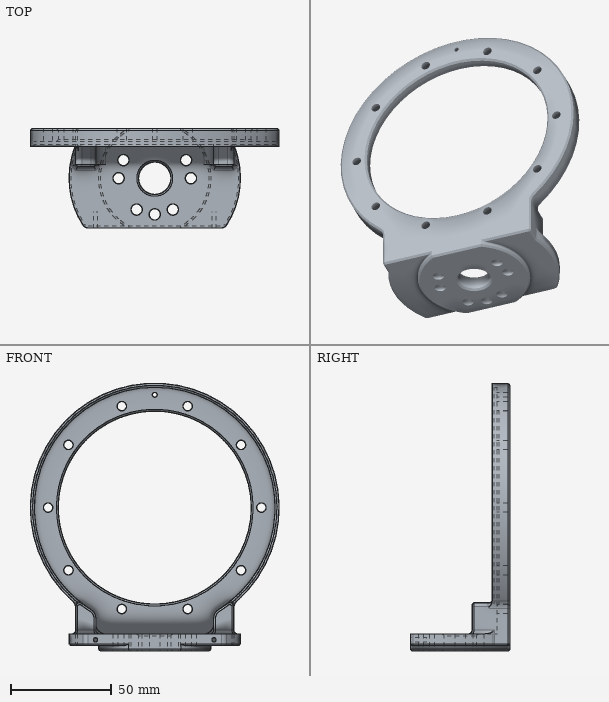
import cadquery as cq
import math

total_height = 133.5
depth = 49.7
back_y = depth / 2
edge_chamfer = 1.0
small_fillet = 2.0
large_fillet = 5.0

ring_radius = 124.0 / 2
ring_z = total_height - ring_radius
ring_thickness = 9.0
face_thickness = 6.5
rim_inner_radius = 60.0
bore_radius = 48.0
rim_front_y = back_y - ring_thickness
face_y = back_y - face_thickness

bolt_count = 10
bolt_circle_radius = 53.1
bolt_diameter = 4.5
pin_circle_radius = 56.2
pin_diameter = 2.3

plate_radius = 42.7
plate_bottom_z = 2.7
plate_top_z = 8.5
plate_corner_fillet = 3.0
boss_radius = 28.0

shaft_hole_radius = 8.0
plate_hole_circle_radius = 18.0
plate_hole_diameter = 5.5
plate_hole_angles = (0, 30, 150, 180, 240, 270, 300)
front_hole_spacing = 59.0
front_hole_diameter = 2.1
front_hole_depth = 8.0
front_hole_z = (plate_bottom_z + plate_top_z) / 2

block_outer_x = 39.4
block_inner_x = 29.4
block_depth = 19.0
block_front_y = back_y - block_depth
block_foot_z = plate_top_z - 1.3

corner_axis_x = block_outer_x - small_fillet
corner_axis_z = ring_z - math.sqrt((rim_inner_radius + small_fillet) ** 2 - corner_axis_x**2)

selection_margin = 0.1


def box(x_min, x_max, y_min, y_max, z_min, z_max):
    size = (x_max - x_min, y_max - y_min, z_max - z_min)
    return cq.Workplane("XY", origin=(x_min, y_min, z_min)).box(*size, centered=False)


def cylinder_y(radius, y_front, y_back, x=0.0, z=ring_z):
    """Cylinder along Y between two depths."""
    plane = cq.Workplane("XZ", origin=(x, y_back, z))
    return plane.circle(radius).extrude(y_back - y_front)


def edge_cone(radius, edge_point, inward):
    """Cone that chamfers the mouth of a hole; inward points from the mouth into the hole."""
    return cq.Solid.makeCone(
        radius + edge_chamfer,
        radius,
        edge_chamfer,
        pnt=cq.Vector(*edge_point),
        dir=cq.Vector(*inward),
    )


def near(x_min, x_max, y_min, y_max, z_min, z_max):
    """Selector for edges whose centre lies inside the given limits or just outside them."""
    m = selection_margin
    return cq.selectors.BoxSelector(
        (x_min - m, y_min - m, z_min - m),
        (x_max + m, y_max + m, z_max + m),
    )


def mirrored(half):
    """The +X half joined with its mirror image."""
    return half.union(half.mirror("YZ"))


def base_disc(radius, z_bottom):
    """Disc up to the plate's top, flat at the front and back."""
    disc = cq.Workplane("XY", origin=(0, 0, z_bottom)).circle(radius).extrude(plate_top_z - z_bottom)
    return disc.intersect(box(-radius, radius, -back_y, back_y, z_bottom, plate_top_z))


def base_plate():
    """Round plate, widened at the back to the width of the upright."""
    plate = base_disc(plate_radius, plate_bottom_z)
    plate = plate.edges("|Z and <Y").fillet(plate_corner_fillet)
    plate = plate.union(
        box(-block_outer_x, block_outer_x, rim_front_y, back_y, plate_bottom_z, plate_top_z)
    )
    return plate.edges("|Z and >Y").chamfer(edge_chamfer)


def upright_outline(y_front, y_back):
    """Ring disc and the straight web under it, blended where they meet."""
    web_top_z = ring_z - block_outer_x
    body = cylinder_y(ring_radius, y_front, y_back)
    body = body.union(box(-block_outer_x, block_outer_x, y_front, y_back, block_foot_z, web_top_z))
    junctions = near(-block_outer_x, block_outer_x, y_front, y_back, plate_top_z, web_top_z)
    return body.edges("|Y").edges(junctions).fillet(large_fillet)


def face_recess():
    """Space in front of the ring face, leaving a rim with a chamfered inner edge."""
    rim_chamfer = edge_cone(rim_inner_radius, (0, rim_front_y, ring_z), (0, 1, 0))
    half_width = block_inner_x + large_fillet
    below_ring = box(-half_width, half_width, rim_front_y, face_y, block_foot_z, ring_z - bore_radius)
    return cylinder_y(rim_inner_radius, rim_front_y, face_y).union(rim_chamfer).union(below_ring)


def gusset_block():
    """Block on the +X side whose top follows the inside of the rim."""
    block = box(block_inner_x, block_outer_x, block_front_y, face_y, block_foot_z, ring_z)
    block = block.cut(cylinder_y(rim_inner_radius, block_front_y, face_y))
    block = block.edges("|Y and >Z").fillet(small_fillet)
    inner_corner = near(block_inner_x, block_inner_x, block_front_y, face_y, plate_top_z, ring_z)
    block = block.edges("|Y").edges(inner_corner).fillet(large_fillet)
    return block.faces("<Y").chamfer(edge_chamfer)


def round_block_feet(body):
    """Rounds the corners between the blocks, the plate's top and the plate's round side."""
    y_limits = (block_front_y, rim_front_y + small_fillet)
    z_limits = (front_hole_z, plate_top_z)
    right = near(block_inner_x, block_outer_x, *y_limits, *z_limits)
    left = near(-block_outer_x, -block_inner_x, *y_limits, *z_limits)
    return body.edges(right + left).fillet(small_fillet)


def inner_foot():
    """Larger concave rounding at the foot of the +X block's inner wall."""
    y_front = block_front_y + edge_chamfer
    toe_x = block_inner_x - large_fillet
    corner = box(toe_x, block_inner_x, y_front, face_y, plate_top_z, plate_top_z + large_fillet)
    return corner.cut(cylinder_y(large_fillet, y_front, face_y, toe_x, plate_top_z + large_fillet))


def rim_to_block_blend():
    """Concave rounding between the rim's front and the +X block's rounded top corner."""
    y_front = rim_front_y - small_fillet
    blend = cylinder_y(2 * small_fillet, y_front, rim_front_y, corner_axis_x, corner_axis_z)
    blend = blend.cut(
        cq.Solid.makeTorus(
            2 * small_fillet,
            small_fillet,
            cq.Vector(corner_axis_x, y_front, corner_axis_z),
            cq.Vector(0, 1, 0),
        )
    )
    blend = blend.intersect(upright_outline(y_front, rim_front_y))
    return blend.cut(cylinder_y(rim_inner_radius + edge_chamfer, y_front, rim_front_y))


def ring_holes():
    """Bore chamfered at both ends, the bolt circle and one pin hole at the top."""
    holes = cylinder_y(bore_radius, face_y, back_y)
    holes = holes.union(edge_cone(bore_radius, (0, face_y, ring_z), (0, 1, 0)))
    holes = holes.union(edge_cone(bore_radius, (0, back_y, ring_z), (0, -1, 0)))
    for index in range(bolt_count):
        angle = 2 * math.pi * index / bolt_count
        x = bolt_circle_radius * math.cos(angle)
        z = ring_z + bolt_circle_radius * math.sin(angle)
        holes = holes.union(cylinder_y(bolt_diameter / 2, face_y, back_y, x, z))
    pin_z = ring_z + pin_circle_radius
    return holes.union(cylinder_y(pin_diameter / 2, face_y, back_y, 0, pin_z))


def plate_holes():
    """Shaft hole chamfered at both ends and the holes around it."""
    holes = cq.Workplane("XY").circle(shaft_hole_radius).extrude(plate_top_z)
    holes = holes.union(edge_cone(shaft_hole_radius, (0, 0, plate_top_z), (0, 0, -1)))
    holes = holes.union(edge_cone(shaft_hole_radius, (0, 0, 0), (0, 0, 1)))
    for angle in plate_hole_angles:
        x = plate_hole_circle_radius * math.cos(math.radians(angle))
        y = plate_hole_circle_radius * math.sin(math.radians(angle))
        hole = cq.Workplane("XY").center(x, y).circle(plate_hole_diameter / 2).extrude(plate_top_z)
        holes = holes.union(hole)
    return holes


def front_hole():
    """Blind hole in the plate's front edge on the +X side."""
    y_end = -back_y + front_hole_depth
    return cylinder_y(front_hole_diameter / 2, -back_y, y_end, front_hole_spacing / 2, front_hole_z)


upright = upright_outline(rim_front_y, back_y).faces(">Y").chamfer(edge_chamfer)
upright = upright.cut(face_recess())
result = upright.union(mirrored(gusset_block())).union(base_plate()).clean()

result = round_block_feet(result)
result = result.faces("<Z").chamfer(edge_chamfer)
result = result.union(mirrored(inner_foot())).union(mirrored(rim_to_block_blend()))

result = result.union(base_disc(boss_radius, 0).faces("<Z").chamfer(edge_chamfer))

result = result.cut(ring_holes()).cut(plate_holes()).cut(mirrored(front_hole()))